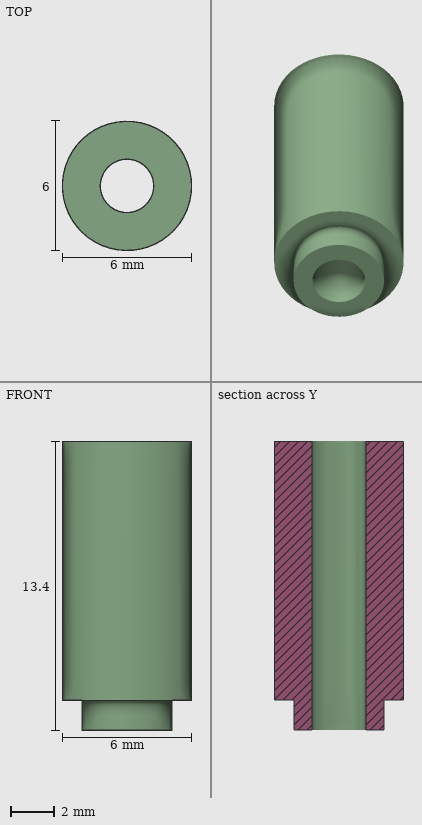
import cadquery as cq

total_length = 13.4
spigot_length = 1.4
body_diameter = 6.0
spigot_diameter = 4.2
bore_diameter = 2.47

body_length = total_length - spigot_length

spigot = cq.Workplane("XY").circle(spigot_diameter / 2).extrude(spigot_length)

spacer = spigot.faces(">Z").workplane().circle(body_diameter / 2).extrude(body_length)

result = spacer.faces(">Z").workplane().circle(bore_diameter / 2).cutThruAll()